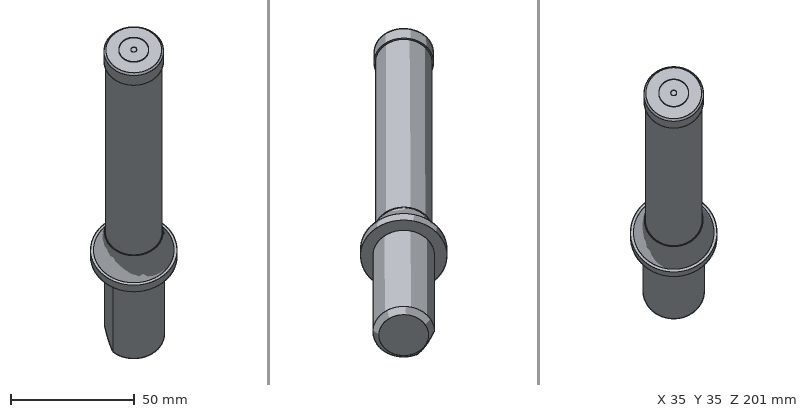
import cadquery as cq
import math

total_length = 201.0
flange_bottom = 56.3
flange_top = 61.0
neck_top = 73.5
head_length = 8.0
head_bottom = total_length - head_length

shank_radius = 25.0 / 2
flange_radius = 35.0 / 2
flare_base_radius = 16.3
neck_radius = 11.9
shaft_radius = 23.0 / 2
head_radius = 12.0

shank_chamfer = 2.5
flat_top = 51.0
flat_distance = 10.5

flare_spread = flare_base_radius - neck_radius
flare_drop = neck_top - flange_top
flare_radius = (flare_spread**2 + flare_drop**2) / (2 * flare_spread)
flare_half_angle = math.asin(flare_drop / flare_radius) / 2
flare_middle = (
    neck_radius + flare_radius * (1 - math.cos(flare_half_angle)),
    neck_top - flare_radius * math.sin(flare_half_angle),
)

head_chamfer = 0.8
disc_radius = 6.0
disc_height = 0.5
dimple_radius = 1.2
dimple_depth = 0.2


def make_holder():
    """Shank, flange, flared neck and shaft as one turned body with a clamping flat."""
    turned = (
        cq.Workplane("XZ")
        .lineTo(shank_radius - shank_chamfer, 0)
        .lineTo(shank_radius, shank_chamfer)
        .lineTo(shank_radius, flange_bottom)
        .lineTo(flange_radius, flange_bottom)
        .lineTo(flange_radius, flange_top)
        .lineTo(flare_base_radius, flange_top)
        .threePointArc(flare_middle, (neck_radius, neck_top))
        .lineTo(shaft_radius, neck_top)
        .lineTo(shaft_radius, head_bottom)
        .lineTo(0, head_bottom)
        .close()
        .revolve(360, (0, 0, 0), (0, 1, 0))
    )
    flat_cutter = cq.Workplane("XY").box(
        2 * shank_radius, shank_radius, flat_top, centered=(True, False, False)
    )
    return turned.cut(flat_cutter.translate((0, -flat_distance - shank_radius, 0)))


def make_head():
    """Cutting head: a chamfered cap with a raised center disc that holds a dimple."""
    rim_height = total_length - disc_height
    dimple_floor = total_length - dimple_depth
    return (
        cq.Workplane("XZ")
        .moveTo(0, head_bottom)
        .lineTo(head_radius, head_bottom)
        .lineTo(head_radius, rim_height - head_chamfer)
        .lineTo(head_radius - head_chamfer, rim_height)
        .lineTo(disc_radius, rim_height)
        .lineTo(disc_radius, total_length)
        .lineTo(dimple_radius, total_length)
        .lineTo(dimple_radius, dimple_floor)
        .lineTo(0, dimple_floor)
        .close()
        .revolve(360, (0, 0, 0), (0, 1, 0))
    )


holder = make_holder()
head = make_head()
result = cq.Compound.makeCompound([holder.val(), head.val()])